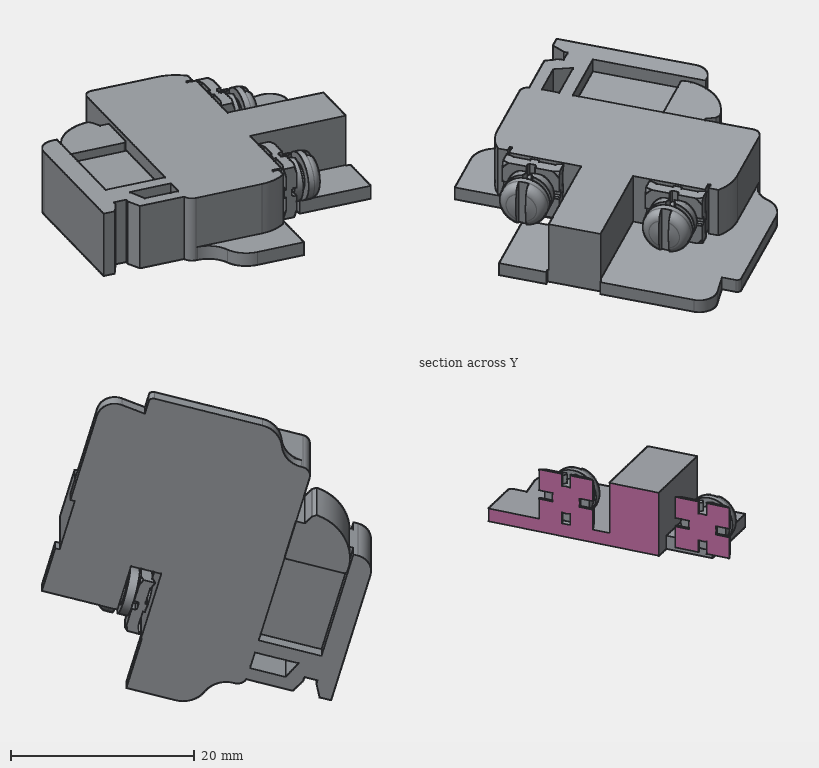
import cadquery as cq
import math

OVERALL_LENGTH = 35.0
OVERALL_HEIGHT = 34.0
THICKNESS = 7.7
HALF_LENGTH = OVERALL_LENGTH / 2

PLATE_THICKNESS = 1.6
FLANGE_TOP = 21.9
LOBE_UNDERCUT_Y = 29.0
LOBE_UNDERCUT_X = -15.45
LOBE_SIDE_X = -16.1
LOBE_RADIUS = 2.0
LOBE_FILLET = 0.5
PLATE_ARM_X = 8.5
PLATE_ARM_BOTTOM = 25.45
SWEEP_TOP = 16.3
SWEEP_BOTTOM = 10.85

HOUSING_HALF = 13.75
HOUSING_BOTTOM = 9.6
SHOULDER_Y = 21.63
SHOULDER_X = 12.65
HAUNCH_Y = 18.5
SEAT_Y = 22.0
HOUSING_FILLET = 1.1
STEM_HALF = 2.98
STEM_TOP = 33.5
STEM_CLEARANCE = 0.1
SLIT_INNER_X = 11.25
SLIT_OUTER_X = 11.5
SLIT_BOTTOM = 20.93

FOOT_LEFT = -4.95
FOOT_RIGHT = 12.95
FOOT_RADIUS = 2.0
FOOT_TOP = 2.5
WALL_LEFT = 7.98
WALL_RIGHT = 9.52
SPRING_INNER_X = 11.5
WINDOW_LEFT_Y = 4.65
WINDOW_RIGHT_Y = 5.55
NOTCH_X = 11.0
NOTCH_LIP_X = 11.45
NOTCH_UPPER_Y = 3.57
NOTCH_LOWER_Y = 2.1
NOTCH_MOUTH_UPPER = 4.35
NOTCH_MOUTH_LOWER = 1.33
WEB_BOTTOM = 1.6
WEB_TOP = THICKNESS - WEB_BOTTOM

LATCH_BOTTOM = 0.55
LATCH_TOP = THICKNESS - LATCH_BOTTOM
LATCH_LEFT = -8.22
LATCH_BACK_Y = 7.55
LATCH_TIP_X = -3.25
LATCH_RIGHT = -2.17
LATCH_NECK_X = -6.9
LATCH_NECK_Y = 8.55
LATCH_NOSE_X = -7.9
LATCH_NOSE_Y = 8.0
LATCH_RADIUS = 5.67
LATCH_FILLET = 0.35
LATCH_NOSE_FILLET = 0.28

SCREW_X = 8.2
SCREW_Z = 4.5
CLAMP_SIZE = 6.5
CLAMP_DEPTH = 6.2
CLAMP_TOP = 23.75
CLAMP_UNDERSIDE = 22.5
CLAMP_FLAT_RADIUS = 4.0
CLAMP_HOLLOW_RADIUS = 3.85
CLAMP_CONE_ANGLE = 30.0
GROOVE_WIDTH = 0.98
GROOVE_DEPTH = 0.55
GROOVE_CHAMFER = 0.18
RIB_HEIGHT = 0.25
SHANK_RADIUS = 1.68
WASHER_RADIUS = 2.7
WASHER_TOP = 24.8
GAP_TOP_HALF = 0.55
GAP_WAIST_HALF = 0.2
GAP_BOTTOM_HALF = 1.47
GAP_WAIST_Y = 24.25
HEAD_RADIUS = 2.73
HEAD_BOTTOM = 25.45
HEAD_EDGE_Y = 26.1
HEAD_TOP = 27.45
CROWN_RADIUS = 1.75
CROWN_EDGE_Y = 27.15
HEAD_SLOT_WIDTH = 1.12
HEAD_SLOT_BOTTOM = 26.2
HEAD_SHOULDER_ANGLE = 45.0

OVERLAP = 0.35
EDGE_TOLERANCE = 0.05


def box(x0, x1, y0, y1, z0, z1):
    """Axis-aligned box given by its limits."""
    return cq.Workplane("XY").box(x1 - x0, y1 - y0, z1 - z0, centered=False).translate((x0, y0, z0))


def prism(points, z0, z1):
    """Straight-sided outline extruded between two Z levels."""
    return cq.Workplane("XY").workplane(offset=z0).polyline(points).close().extrude(z1 - z0)


def fillet_at(solid, x, y, radius):
    """Round the vertical edge that passes through (x, y)."""
    tol = EDGE_TOLERANCE
    selector = cq.selectors.BoxSelector((x - tol, y - tol, -THICKNESS), (x + tol, y + tol, 2 * THICKNESS))
    return solid.edges("|Z").edges(selector).fillet(radius)


def make_plate():
    """Base plate with a lobe, an arm beside the barrier wall and two S-curved ears."""
    sweep_width = HALF_LENGTH - HOUSING_HALF
    sweep_height = SWEEP_TOP - SWEEP_BOTTOM
    sweep_radius = (sweep_width**2 + sweep_height**2) / (4 * sweep_width)
    mid_x = HALF_LENGTH - sweep_width / 2
    mid_y = SWEEP_TOP - sweep_height / 2
    notch_half = STEM_HALF + STEM_CLEARANCE
    plate = (
        cq.Workplane("XY")
        .moveTo(HALF_LENGTH, FLANGE_TOP)
        .lineTo(HALF_LENGTH, SWEEP_TOP)
        .radiusArc((mid_x, mid_y), sweep_radius)
        .radiusArc((HOUSING_HALF, SWEEP_BOTTOM), -sweep_radius)
        .lineTo(-HOUSING_HALF, SWEEP_BOTTOM)
        .radiusArc((-mid_x, mid_y), -sweep_radius)
        .radiusArc((-HALF_LENGTH, SWEEP_TOP), sweep_radius)
        .lineTo(-HALF_LENGTH, LOBE_UNDERCUT_Y)
        .lineTo(LOBE_UNDERCUT_X, LOBE_UNDERCUT_Y)
        .lineTo(LOBE_SIDE_X, OVERALL_HEIGHT)
        .lineTo(-notch_half, OVERALL_HEIGHT)
        .lineTo(-notch_half, STEM_TOP)
        .lineTo(notch_half, STEM_TOP)
        .lineTo(notch_half, OVERALL_HEIGHT)
        .lineTo(PLATE_ARM_X, OVERALL_HEIGHT)
        .lineTo(PLATE_ARM_X, PLATE_ARM_BOTTOM)
        .lineTo(STEM_HALF, PLATE_ARM_BOTTOM)
        .lineTo(STEM_HALF, FLANGE_TOP)
        .close()
        .extrude(PLATE_THICKNESS)
    )
    plate = fillet_at(plate, LOBE_SIDE_X, OVERALL_HEIGHT, LOBE_RADIUS)
    return fillet_at(plate, -HALF_LENGTH, LOBE_UNDERCUT_Y, LOBE_FILLET)


def make_housing():
    """Full-thickness block with rounded haunches, two slits and the barrier wall."""
    haunch_width = HOUSING_HALF - SHOULDER_X
    haunch_height = SHOULDER_Y - HAUNCH_Y
    haunch_radius = (haunch_width**2 + haunch_height**2) / (2 * haunch_width)
    housing = (
        cq.Workplane("XY")
        .moveTo(-HOUSING_HALF, HOUSING_BOTTOM)
        .lineTo(-HOUSING_HALF, HAUNCH_Y)
        .radiusArc((-SHOULDER_X, SHOULDER_Y), haunch_radius)
        .lineTo(-SLIT_INNER_X, SHOULDER_Y)
        .lineTo(-SLIT_INNER_X, SEAT_Y)
        .lineTo(-STEM_HALF, SEAT_Y)
        .lineTo(-STEM_HALF, STEM_TOP)
        .lineTo(STEM_HALF, STEM_TOP)
        .lineTo(STEM_HALF, SEAT_Y)
        .lineTo(SLIT_INNER_X, SEAT_Y)
        .lineTo(SLIT_INNER_X, SHOULDER_Y)
        .lineTo(SHOULDER_X, SHOULDER_Y)
        .radiusArc((HOUSING_HALF, HAUNCH_Y), haunch_radius)
        .lineTo(HOUSING_HALF, HOUSING_BOTTOM)
        .close()
        .extrude(THICKNESS)
    )
    for side in (-1, 1):
        housing = fillet_at(housing, side * HOUSING_HALF, HOUSING_BOTTOM, HOUSING_FILLET)
    slit = box(SLIT_INNER_X, SLIT_OUTER_X, SLIT_BOTTOM, SEAT_Y, PLATE_THICKNESS, THICKNESS)
    return housing.cut(slit).cut(slit.mirror("YZ"))


def make_foot():
    """Rail foot: bottom bar, wall, spring window and recessed web beside the wall."""
    outline = [
        (FOOT_LEFT, 0),
        (FOOT_RIGHT, 0),
        (FOOT_RIGHT, NOTCH_MOUTH_LOWER),
        (NOTCH_LIP_X, NOTCH_LOWER_Y),
        (NOTCH_X, NOTCH_LOWER_Y),
        (NOTCH_X, NOTCH_UPPER_Y),
        (NOTCH_LIP_X, NOTCH_UPPER_Y),
        (FOOT_RIGHT, NOTCH_MOUTH_UPPER),
        (FOOT_RIGHT, HOUSING_BOTTOM + OVERLAP),
        (WALL_LEFT, HOUSING_BOTTOM + OVERLAP),
        (WALL_LEFT, FOOT_TOP),
        (FOOT_LEFT, FOOT_TOP),
    ]
    window = [
        (WALL_RIGHT, HOUSING_BOTTOM),
        (WALL_RIGHT, WINDOW_LEFT_Y),
        (SPRING_INNER_X, WINDOW_RIGHT_Y),
        (SPRING_INNER_X, HOUSING_BOTTOM),
    ]
    foot = fillet_at(prism(outline, 0, THICKNESS), FOOT_LEFT, 0, FOOT_RADIUS)
    foot = foot.cut(prism(window, 0, THICKNESS))
    web = box(FOOT_LEFT, WALL_LEFT, FOOT_TOP, HOUSING_BOTTOM, WEB_BOTTOM, WEB_TOP)
    return foot.union(web)


def make_latch():
    """Rail latch with a rounded back and a hooked nose."""
    latch = (
        cq.Workplane("XY")
        .workplane(offset=LATCH_BOTTOM)
        .moveTo(LATCH_RIGHT, HOUSING_BOTTOM)
        .lineTo(LATCH_NECK_X, HOUSING_BOTTOM)
        .lineTo(LATCH_NECK_X, LATCH_NECK_Y)
        .lineTo(LATCH_NOSE_X, LATCH_NOSE_Y)
        .lineTo(LATCH_LEFT, LATCH_BACK_Y)
        .radiusArc((LATCH_TIP_X, FOOT_TOP), -LATCH_RADIUS)
        .lineTo(LATCH_RIGHT, FOOT_TOP)
        .close()
        .extrude(LATCH_TOP - LATCH_BOTTOM)
    )
    latch = fillet_at(latch, LATCH_NOSE_X, LATCH_NOSE_Y, LATCH_NOSE_FILLET)
    for y in (FOOT_TOP, HOUSING_BOTTOM):
        latch = fillet_at(latch, LATCH_RIGHT, y, LATCH_FILLET)
    return latch




def revolve_profile(profile):
    """Spin a profile of radius against Y about the Y axis."""
    return profile.close().revolve(360, (0, 0, 0), (0, 1, 0))


def make_clamp():
    """Clamp plate with coned corners, crossed grooves on top and ribs below."""
    half = CLAMP_SIZE / 2
    half_depth = CLAMP_DEPTH / 2
    corner = math.hypot(half, half_depth)
    slope = math.tan(math.radians(CLAMP_CONE_ANGLE))
    top_drop = (corner - CLAMP_FLAT_RADIUS) * slope
    hollow_drop = (corner - CLAMP_HOLLOW_RADIUS) * slope
    envelope = revolve_profile(
        cq.Workplane("XY")
        .moveTo(0, CLAMP_UNDERSIDE)
        .lineTo(CLAMP_HOLLOW_RADIUS, CLAMP_UNDERSIDE)
        .lineTo(corner, CLAMP_UNDERSIDE - hollow_drop)
        .lineTo(corner, CLAMP_TOP - top_drop)
        .lineTo(CLAMP_FLAT_RADIUS, CLAMP_TOP)
        .lineTo(0, CLAMP_TOP)
    )
    clamp = box(-half, half, SEAT_Y, CLAMP_TOP, -half_depth, half_depth).intersect(envelope)
    groove_half = GROOVE_WIDTH / 2
    groove_bottom = CLAMP_TOP - GROOVE_DEPTH
    groove_points = [
        (-groove_half, CLAMP_TOP),
        (-groove_half, groove_bottom + GROOVE_CHAMFER),
        (GROOVE_CHAMFER - groove_half, groove_bottom),
        (groove_half - GROOVE_CHAMFER, groove_bottom),
        (groove_half, groove_bottom + GROOVE_CHAMFER),
        (groove_half, CLAMP_TOP),
    ]
    rib_bottom = CLAMP_UNDERSIDE - RIB_HEIGHT
    for angle, reach in ((0, half_depth), (90, half)):
        groove = prism(groove_points, -reach, reach)
        rib = box(-groove_half, groove_half, rib_bottom, CLAMP_UNDERSIDE + OVERLAP, -reach, reach)
        clamp = clamp.cut(groove.rotate((0, 0, 0), (0, 1, 0), angle))
        clamp = clamp.union(rib.rotate((0, 0, 0), (0, 1, 0), angle))
    return clamp


def make_lock_washer():
    """Split ring whose ends taper towards each other."""
    height = WASHER_TOP - CLAMP_TOP
    washer = cq.Workplane("XZ", origin=(0, CLAMP_TOP, 0)).circle(WASHER_RADIUS).extrude(-height)
    gap = [
        (-GAP_TOP_HALF, WASHER_TOP),
        (-GAP_WAIST_HALF, GAP_WAIST_Y),
        (-GAP_BOTTOM_HALF, CLAMP_TOP),
        (GAP_BOTTOM_HALF, CLAMP_TOP),
        (GAP_WAIST_HALF, GAP_WAIST_Y),
        (GAP_TOP_HALF, WASHER_TOP),
    ]
    return washer.cut(prism(gap, 0, WASHER_RADIUS))


def make_screw():
    """Slotted pan-head screw reaching from its head into the housing."""
    shoulder_angle = math.radians(HEAD_SHOULDER_ANGLE)
    shoulder_x = CROWN_RADIUS + (HEAD_RADIUS - CROWN_RADIUS) * math.cos(shoulder_angle)
    shoulder_y = HEAD_EDGE_Y + (CROWN_EDGE_Y - HEAD_EDGE_Y) * math.sin(shoulder_angle)
    screw = revolve_profile(
        cq.Workplane("XY")
        .moveTo(0, SEAT_Y - OVERLAP)
        .lineTo(SHANK_RADIUS, SEAT_Y - OVERLAP)
        .lineTo(SHANK_RADIUS, HEAD_BOTTOM)
        .lineTo(HEAD_RADIUS, HEAD_BOTTOM)
        .lineTo(HEAD_RADIUS, HEAD_EDGE_Y)
        .threePointArc((shoulder_x, shoulder_y), (CROWN_RADIUS, CROWN_EDGE_Y))
        .lineTo(0, HEAD_TOP)
    )
    slot_half = HEAD_SLOT_WIDTH / 2
    return screw.cut(box(-slot_half, slot_half, HEAD_SLOT_BOTTOM, HEAD_TOP, -HEAD_RADIUS, HEAD_RADIUS))


terminal = make_clamp().union(make_lock_washer()).union(make_screw())

result = make_housing().union(make_plate()).union(make_foot()).union(make_latch())
for side in (-1, 1):
    result = result.union(terminal.translate((side * SCREW_X, 0, SCREW_Z)))